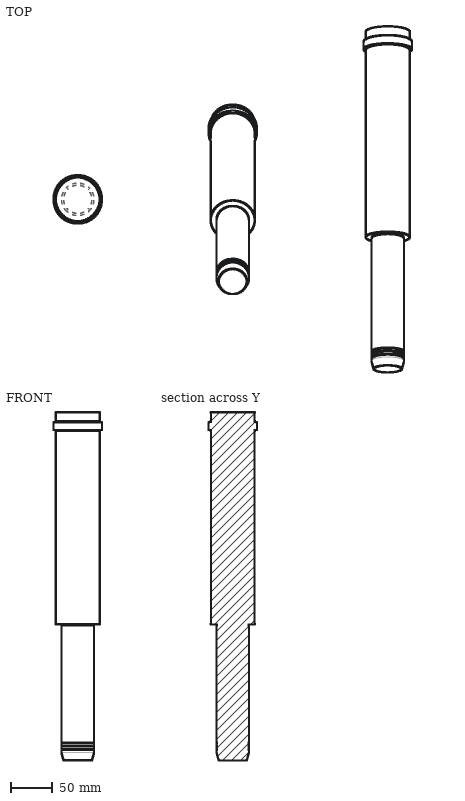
import cadquery as cq
import math

TOTAL_LENGTH = 423.0
BODY_LENGTH = 258.0
HEAD_LENGTH = 12.0
COLLAR_LENGTH = 10.0
TIP_LENGTH = 10.0

BODY_DIAMETER = 54.0
COLLAR_DIAMETER = 59.0
PIN_DIAMETER = 40.0

TIP_ANGLE = 15.0
EDGE_CHAMFER = 0.5

GROOVE_WIDTH = 1.0
GROOVE_DEPTH = 0.5
GROOVE_COUNT = 3
GROOVE_PITCH = 4.0
FIRST_GROOVE_BOTTOM = 13.0

BODY_BOTTOM = TOTAL_LENGTH - BODY_LENGTH
COLLAR_TOP = TOTAL_LENGTH - HEAD_LENGTH
COLLAR_BOTTOM = COLLAR_TOP - COLLAR_LENGTH
TIP_DIAMETER = PIN_DIAMETER - 2 * TIP_LENGTH * math.tan(math.radians(TIP_ANGLE))


def make_cylinder(diameter, bottom, top):
    """Solid cylinder on the Z axis between two heights."""
    return cq.Workplane("XY").workplane(offset=bottom).circle(diameter / 2).extrude(top - bottom)


def make_pin():
    """Slender lower pin with its tapered, chamfered tip."""
    taper = (
        cq.Workplane("XY")
        .circle(TIP_DIAMETER / 2)
        .workplane(offset=TIP_LENGTH)
        .circle(PIN_DIAMETER / 2)
        .loft(ruled=True)
        .faces("<Z")
        .chamfer(EDGE_CHAMFER)
    )
    return taper.union(make_cylinder(PIN_DIAMETER, TIP_LENGTH, BODY_BOTTOM))


def make_body():
    """Thick upper body with both end edges broken."""
    return make_cylinder(BODY_DIAMETER, BODY_BOTTOM, TOTAL_LENGTH).faces("<Z or >Z").chamfer(EDGE_CHAMFER)


def make_collar():
    """Collar around the body with its upper edge broken."""
    return make_cylinder(COLLAR_DIAMETER, COLLAR_BOTTOM, COLLAR_TOP).faces(">Z").chamfer(EDGE_CHAMFER)


def make_groove(diameter, bottom):
    """Ring to cut from a round surface of the given diameter."""
    top = bottom + GROOVE_WIDTH
    core = make_cylinder(diameter - 2 * GROOVE_DEPTH, bottom, top)
    return make_cylinder(diameter, bottom, top).cut(core)


result = make_pin().union(make_body()).union(make_collar())

for index in range(GROOVE_COUNT):
    result = result.cut(make_groove(PIN_DIAMETER, FIRST_GROOVE_BOTTOM + index * GROOVE_PITCH))

result = result.cut(make_groove(PIN_DIAMETER, BODY_BOTTOM - GROOVE_WIDTH))
result = result.cut(make_groove(BODY_DIAMETER, COLLAR_BOTTOM - GROOVE_WIDTH))
result = result.cut(make_groove(BODY_DIAMETER, COLLAR_TOP))